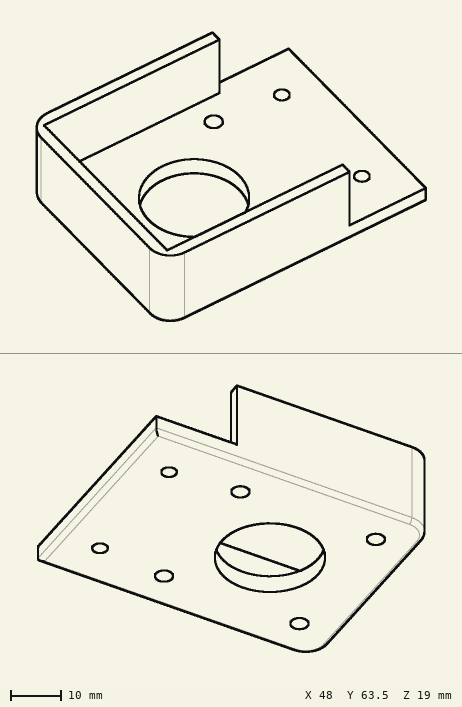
import cadquery as cq

width = 48.0
length = 63.5
height = 19.0

plate_thickness = 4.0
wall_thickness = 2.5
wall_length = 45.0
corner_radius = 5.0
bottom_edge_radius = 1.0

opening_diameter = 22.0
opening_y = 23.95
mount_spacing = 31.0
mount_diameter = 3.6

rear_hole_spacing = 28.0
rear_hole_diameter = 3.1
rear_hole_y = length - 8.6


def box_from_front(x_size, y_start, y_end, z_start, z_end):
    """Box centred on X, between the given Y and Z limits."""
    return (
        cq.Workplane("XY")
        .box(x_size, y_end - y_start, z_end - z_start, centered=(True, False, False))
        .translate((0, y_start, z_start))
    )


def make_body():
    """Block with rounded front corners and a rounded underside edge."""
    block = box_from_front(width, 0, length, 0, height)
    block = block.edges("|Z and <Y").fillet(corner_radius)
    return block.faces("<Z").edges().fillet(bottom_edge_radius)


def make_clearance():
    """Space above the plate: inside the wall and over the whole open end."""
    inside = box_from_front(
        width - 2 * wall_thickness, wall_thickness, length, plate_thickness, height
    )
    open_end = box_from_front(width, wall_length, length, plate_thickness, height)
    return inside.union(open_end)


def make_holes(centres, diameter):
    """Cylinders that pass through the plate at the given centres."""
    return cq.Workplane("XY").pushPoints(centres).circle(diameter / 2).extrude(plate_thickness)


mount_offset = mount_spacing / 2
mount_centres = [
    (side * mount_offset, opening_y + end * mount_offset) for side in (-1, 1) for end in (-1, 1)
]
rear_centres = [(side * rear_hole_spacing / 2, rear_hole_y) for side in (-1, 1)]

result = make_body().cut(make_clearance())
result = result.cut(make_holes([(0, opening_y)], opening_diameter))
result = result.cut(make_holes(mount_centres, mount_diameter))
result = result.cut(make_holes(rear_centres, rear_hole_diameter))